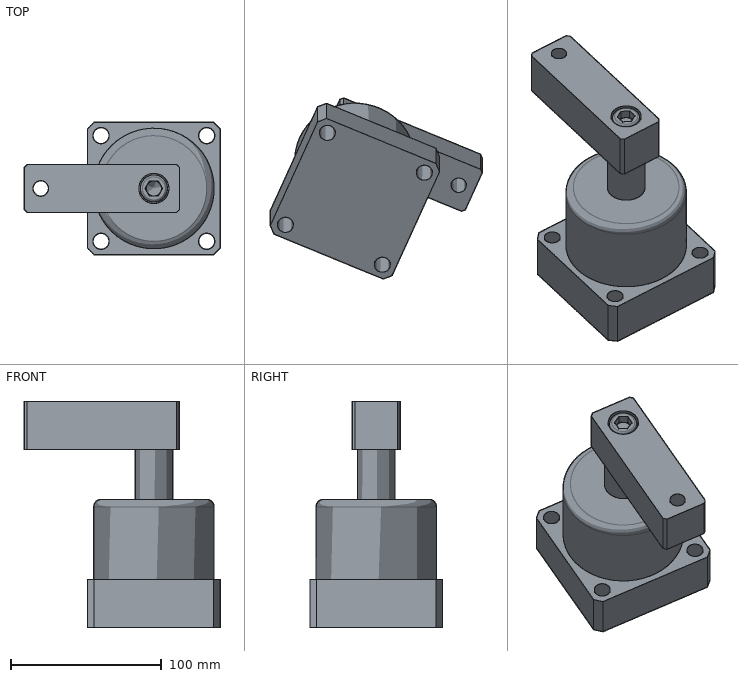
import cadquery as cq
import math


total_height = 150.0
arm_reach = 86.0

base_width = 88.0
base_height = 32.0
base_corner_chamfer = 4.5
mount_hole_spacing = 70.0
mount_hole_diameter = 10.5
barrel_diameter = 80.0
barrel_height = 53.1
barrel_top_fillet = 5.0

rod_diameter = 25.0

arm_overhang = 17.0
arm_width = 32.0
arm_height = 32.0
arm_corner_chamfer = 2.0
tip_hole_offset = 75.0
tip_hole_diameter = 10.0
counterbore_diameter = 20.0

head_diameter = 18.0
head_height = 12.0
head_top_fillet = 1.4
shank_diameter = 12.0
thread_engagement = 18.0
socket_sides = 6
socket_across_flats = 10.0
socket_depth = 6.0
socket_tip_angle = 120.0

barrel_top = base_height + barrel_height
arm_bottom = total_height - arm_height
head_bottom = total_height - head_height
shank_bottom = arm_bottom - thread_engagement
arm_length = arm_reach + arm_overhang
arm_center_x = (arm_overhang - arm_reach) / 2


def cylinder(diameter, bottom, top):
    """Solid cylinder on the Z axis between two levels."""
    return cq.Workplane("XY").workplane(offset=bottom).circle(diameter / 2).extrude(top - bottom)


def make_housing():
    """Square flange with chamfered corners, four through holes and a rounded barrel."""
    flange = (
        cq.Workplane("XY")
        .rect(base_width, base_width)
        .extrude(base_height)
        .edges("|Z")
        .chamfer(base_corner_chamfer)
    )
    barrel = cylinder(barrel_diameter, base_height, barrel_top).faces(">Z").edges().fillet(barrel_top_fillet)
    mount_holes = (
        cq.Workplane("XY")
        .rect(mount_hole_spacing, mount_hole_spacing, forConstruction=True)
        .vertices()
        .circle(mount_hole_diameter / 2)
        .extrude(barrel_top)
    )
    return flange.union(barrel).cut(mount_holes)


def make_rod():
    """Round rod from the barrel to the arm, with a blind hole for the screw."""
    rod = cylinder(rod_diameter, barrel_top, arm_bottom)
    return rod.cut(cylinder(shank_diameter, shank_bottom, arm_bottom))


def make_arm():
    """Bar with chamfered vertical corners, a tip hole and a counterbored screw hole."""
    bar = (
        cq.Workplane("XY")
        .workplane(offset=arm_bottom)
        .center(arm_center_x, 0)
        .rect(arm_length, arm_width)
        .extrude(arm_height)
        .edges("|Z")
        .chamfer(arm_corner_chamfer)
    )
    tip_hole = cylinder(tip_hole_diameter, arm_bottom, total_height).translate((-tip_hole_offset, 0, 0))
    screw_hole = cylinder(shank_diameter, arm_bottom, total_height)
    counterbore = cylinder(counterbore_diameter, head_bottom, total_height)
    return bar.cut(tip_hole).cut(screw_hole).cut(counterbore)


def make_socket():
    """Hexagonal socket with two corners on the X axis and a conical bottom."""
    across_corners = socket_across_flats / math.cos(math.pi / socket_sides)
    socket_floor = total_height - socket_depth
    hexagon = (
        cq.Workplane("XY")
        .workplane(offset=socket_floor)
        .polygon(socket_sides, across_corners)
        .extrude(socket_depth)
    )
    cone_radius = socket_across_flats / 2
    cone_depth = cone_radius / math.tan(math.radians(socket_tip_angle / 2))
    cone = cq.Workplane(
        cq.Solid.makeCone(cone_radius, 0, cone_depth, cq.Vector(0, 0, socket_floor), cq.Vector(0, 0, -1))
    )
    return hexagon.union(cone)


def make_screw():
    """Socket head screw with a rounded head rim."""
    head = cylinder(head_diameter, head_bottom, total_height).faces(">Z").edges().fillet(head_top_fillet)
    shank = cylinder(shank_diameter, shank_bottom, head_bottom)
    return head.union(shank).cut(make_socket())


housing = make_housing()
rod = make_rod()
arm = make_arm()
screw = make_screw()

result = cq.Compound.makeCompound([housing.val(), rod.val(), arm.val(), screw.val()])